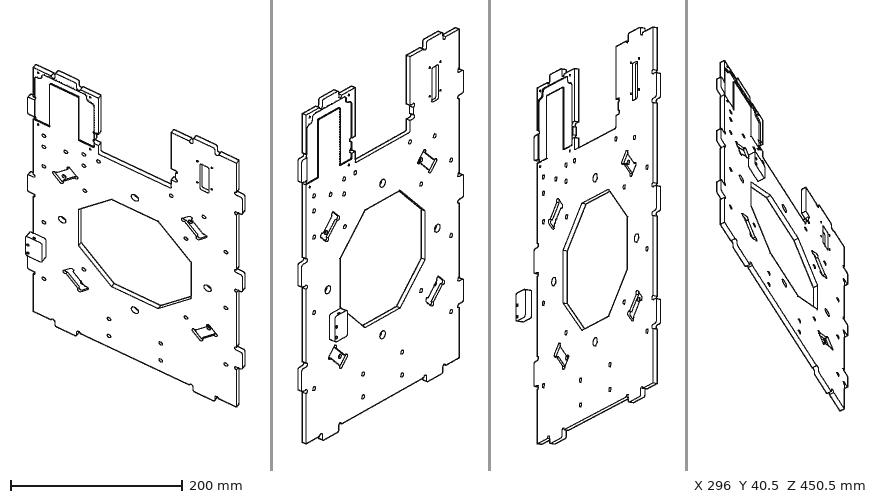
import cadquery as cq
import math


plate_width = 280.0
plate_thickness = 6.0
plate_top = 247.0
plate_bottom = -187.5
tab_length = 30.0
tab_reach = 8.0
tab_corner_radius = 2.5
side_tab_pitch = 138.0
side_tab_middle = 37.0
end_tab_offset = 95.0
relief_diameter = 5.0

bay_half_width = 50.0
bay_floor = 147.5
bay_corner_radius = 2.0
notch_depth = 6.0
notch_length = 20.0
notch_middle = 172.5

octagon_across_flats = 155.0
large_hole_diameter = 10.0
large_hole_radius = 100.0
small_hole_diameter = 5.0
diagonal_hole_offset = 70.5
upper_left_hole = (-69.0, 70.7)
edge_hole_x = 125.3
edge_hole_heights = [79.8, -20.0, -120.5]
foot_hole_x = 35.5
foot_hole_heights = [-137.5, -167.5]
upper_hole_height = 134.3
upper_hole_drop = 20.0
upper_middle_x = 95.0
upper_middle_height = 124.0

u_middle = -97.5
u_width = 82.0
u_top = 242.5
u_bottom = 155.0
u_depth = 1.5
u_step_width = 10.0
u_step_height = 10.5
u_corner_radius = 4.5
tongue_width = 39.5
tongue_top = 231.5
tongue_corner_radius = 1.5
pilot_hole_diameter = 2.0
pilot_spacing_x = 71.5
pilot_spacing_z = 92.5
pilot_middle_height = 195.3

recess_x = 96.0
recess_width = 12.0
recess_length = 45.5
recess_height = 193.0
recess_depth = 4.0
recess_corner_radius = 2.3
screw_hole_diameter = 2.0
screw_spacing_x = 20.0
screw_spacing_z = 38.0
screw_middle_height = 198.5

pocket_x = -96.0
pocket_z = 81.5
pocket_length = 33.5
pocket_width = 13.5
pocket_depth = 3.0
pocket_hole_x = -99.5
pocket_hole_z = 74.5

box_width = 23.0
box_height = 34.2
box_depth = 8.5
box_x = -117.37
box_z = -29.5
box_front = plate_thickness - 40.5
box_corner_radius = 3.0
box_hole_diameter = 3.0
box_hole_depth = 2.3
box_hole_x = -125.5
box_hole_heights = [-27.0, -41.0]
box_slot_x = -118.5
box_slot_y = -32.0
box_slot_length = 3.0
box_slot_width = 1.0
box_slot_depth = 2.3


def front_prism(width, height, depth, x, z, front=0.0):
    """A block centred at (x, z) that runs back from the plane Y = front."""
    return cq.Workplane("XY").box(width, depth, height).translate((x, front + depth / 2, z))


def front_cylinders(points, diameter, depth, front=0.0):
    """Cylinders that run back from the plane Y = front."""
    sketch = cq.Workplane("XZ").pushPoints(points)
    return sketch.circle(diameter / 2).extrude(-depth).translate((0, front, 0))


def grid(spacing_x, spacing_z, x, z):
    """The corners of a rectangle centred at (x, z)."""
    return [
        (x + sx * spacing_x / 2, z + sz * spacing_z / 2) for sx in (-1, 1) for sz in (-1, 1)
    ]


def make_plate_outline():
    height = plate_top - plate_bottom
    middle = (plate_top + plate_bottom) / 2
    plate = front_prism(plate_width, height, plate_thickness, 0, middle)
    reliefs = []
    relief_offset = tab_length / 2 + relief_diameter / 2

    for x in (-end_tab_offset, end_tab_offset):
        for edge in (plate_top, plate_bottom):
            tab = front_prism(tab_length, 2 * tab_reach, plate_thickness, x, edge)
            plate = plate.union(tab.edges("|Y").fillet(tab_corner_radius))
            reliefs += [(x - relief_offset, edge), (x + relief_offset, edge)]

    for step in (-1, 0, 1):
        z = side_tab_middle + step * side_tab_pitch
        for edge in (-plate_width / 2, plate_width / 2):
            tab = front_prism(2 * tab_reach, tab_length, plate_thickness, edge, z)
            plate = plate.union(tab.edges("|Y").fillet(tab_corner_radius))
            reliefs += [(edge, z - relief_offset), (edge, z + relief_offset)]

    return plate.cut(front_cylinders(reliefs, relief_diameter, plate_thickness))


def make_bay():
    bay_height = 2 * (plate_top - bay_floor)
    bay = front_prism(2 * bay_half_width, bay_height, plate_thickness, 0, plate_top)
    bay = bay.edges("|Y and <Z").fillet(bay_corner_radius)
    notch_half_width = bay_half_width + notch_depth
    bay = bay.union(front_prism(2 * notch_half_width, notch_length, plate_thickness, 0, notch_middle))
    reliefs = grid(2 * notch_half_width, notch_length - relief_diameter, 0, notch_middle)
    return bay.union(front_cylinders(reliefs, relief_diameter, plate_thickness))


def make_octagon():
    across_corners = octagon_across_flats / math.cos(math.pi / 8)
    octagon = cq.Workplane("XZ").polygon(8, across_corners).extrude(-plate_thickness)
    return octagon.rotate((0, 0, 0), (0, 1, 0), 22.5)


def make_through_holes():
    large = [(large_hole_radius, 0), (-large_hole_radius, 0), (0, large_hole_radius), (0, -large_hole_radius)]
    small = [
        upper_left_hole,
        (diagonal_hole_offset, diagonal_hole_offset),
        (diagonal_hole_offset, -diagonal_hole_offset),
        (-diagonal_hole_offset, -diagonal_hole_offset),
    ]
    for side in (-1, 1):
        small += [(side * edge_hole_x, z) for z in edge_hole_heights]
        small += [(side * foot_hole_x, z) for z in foot_hole_heights]
        small += [(side * bay_half_width, upper_hole_height)]
        small += [(side * upper_middle_x, upper_middle_height)]
    for x in (-edge_hole_x, -diagonal_hole_offset):
        small += [(x, upper_hole_height), (x, upper_hole_height - upper_hole_drop)]
    holes = front_cylinders(large, large_hole_diameter, plate_thickness)
    return holes.union(front_cylinders(small, small_hole_diameter, plate_thickness))


def make_u_pocket():
    height = u_top - u_bottom
    pocket = front_prism(u_width, height, u_depth, u_middle, (u_top + u_bottom) / 2)
    for side in (-1, 1):
        corner_x = u_middle + side * u_width / 2
        pocket = pocket.cut(front_prism(2 * u_step_width, 2 * u_step_height, u_depth, corner_x, u_top))
    upper = cq.selectors.BoxSelector((-450.5, -4.5, u_top - 2 * u_step_height), (450.5, 9, u_top + 4.5))
    pocket = pocket.edges("|Y").edges(upper).fillet(u_corner_radius)
    pocket = pocket.edges("|Y and <Z").fillet(tongue_corner_radius)
    tongue_height = tongue_top - u_bottom
    tongue = front_prism(tongue_width, 2 * tongue_height, u_depth, u_middle, u_bottom)
    pocket = pocket.cut(tongue.edges("|Y").fillet(tongue_corner_radius))
    pilots = grid(pilot_spacing_x, pilot_spacing_z, u_middle, pilot_middle_height)
    return pocket.union(front_cylinders(pilots, pilot_hole_diameter, plate_thickness))


def make_recess():
    recess = front_prism(recess_width, recess_length, recess_depth, recess_x, recess_height)
    recess = recess.edges("|Y").fillet(recess_corner_radius)
    screws = grid(screw_spacing_x, screw_spacing_z, recess_x, screw_middle_height)
    return recess.union(front_cylinders(screws, screw_hole_diameter, plate_thickness))


def make_diagonal_pocket(quarter_turns):
    pocket = front_prism(pocket_length, pocket_width, pocket_depth, 0, 0)
    reliefs = grid(pocket_length - relief_diameter, pocket_width, 0, 0)
    pocket = pocket.union(front_cylinders(reliefs, relief_diameter, pocket_depth))
    pocket = pocket.rotate((0, 0, 0), (0, 1, 0), -45).translate((pocket_x, 0, pocket_z))
    hole = front_cylinders([(pocket_hole_x, pocket_hole_z)], small_hole_diameter, plate_thickness)
    return pocket.union(hole).rotate((0, 0, 0), (0, 1, 0), 90 * quarter_turns)


def make_plate():
    plate = make_plate_outline().cut(make_bay()).cut(make_octagon()).cut(make_through_holes())
    plate = plate.cut(make_u_pocket()).cut(make_recess())
    for quarter_turns in range(4):
        plate = plate.cut(make_diagonal_pocket(quarter_turns))
    return plate


def make_box():
    box = front_prism(box_width, box_height, box_depth, box_x, box_z, box_front)
    box = box.edges("|Y").fillet(box_corner_radius)
    hole_points = [(box_hole_x, z) for z in box_hole_heights]
    box = box.cut(front_cylinders(hole_points, box_hole_diameter, box_hole_depth, box_front))
    slot = cq.Workplane("XY").box(box_slot_length, box_slot_width, 2 * box_slot_depth)
    return box.cut(slot.translate((box_slot_x, box_slot_y, box_z + box_height / 2)))


plate = make_plate()
box = make_box()

result = cq.Compound.makeCompound([plate.val(), box.val()])